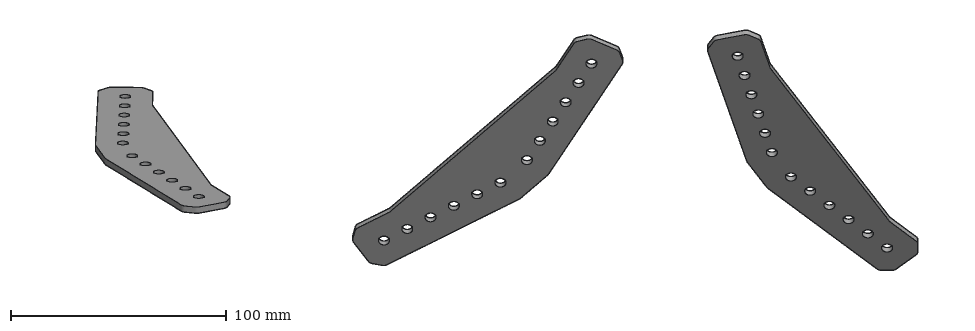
import cadquery as cq
import math

LENGTH = 163.2
THICKNESS = 3.1

ARM_HALF_WIDTH = 12.7
END_DISTANCE = 12.5
END_CHAMFER = 5.0
EDGE_RADIUS = 3.0
HOLE_DIAMETER = 5.0
HOLE_PITCH = 12.7
HOLES_PER_ARM = 6

BEND_ANGLE = 30.0
UPPER_BEND_OFFSET = 52.5
LOWER_BEND_OFFSET = -2.8

bend = math.radians(BEND_ANGLE)
half_bend = bend / 2
arm_end = (HOLES_PER_ARM - 1) * HOLE_PITCH + END_DISTANCE
chamfer_start = arm_end - END_CHAMFER
end_half_width = ARM_HALF_WIDTH - END_CHAMFER

rounding_along = arm_end - EDGE_RADIUS
rounding_across = end_half_width - EDGE_RADIUS * math.tan(math.pi / 8)
left_reach = rounding_along * math.cos(bend) + rounding_across * math.sin(bend) + EDGE_RADIUS
inner_hole_gap = (LENGTH - arm_end - left_reach) / math.cos(half_bend)


def arm_point(along, across, side):
    """Locate a point on an arm, measured from its innermost hole.

    The bisector is the local Y axis; side is 1 for the right arm, -1 for the left.
    """
    x = inner_hole_gap / 2 + along * math.cos(half_bend) - across * math.sin(half_bend)
    y = along * math.sin(half_bend) + across * math.cos(half_bend)
    return (side * x, y)


def arm_outline(side):
    """List the corners of one arm, from its lower bend to its upper bend."""
    corners = [
        (LOWER_BEND_OFFSET, -ARM_HALF_WIDTH),
        (chamfer_start, -ARM_HALF_WIDTH),
        (arm_end, -end_half_width),
        (arm_end, end_half_width),
        (chamfer_start, ARM_HALF_WIDTH),
        (UPPER_BEND_OFFSET, ARM_HALF_WIDTH),
    ]
    return [arm_point(along, across, side) for along, across in corners]


outline = arm_outline(1) + arm_outline(-1)[::-1]
plate = cq.Workplane("XY").polyline(outline).close().extrude(THICKNESS)
plate = plate.edges("|Z").fillet(EDGE_RADIUS)

hole_centres = [
    arm_point(index * HOLE_PITCH, 0, side) for side in (-1, 1) for index in range(HOLES_PER_ARM)
]
holes = cq.Workplane("XY").pushPoints(hole_centres).circle(HOLE_DIAMETER / 2).extrude(THICKNESS)
plate = plate.cut(holes)

result = plate.rotate((0, 0, 0), (0, 0, 1), -BEND_ANGLE / 2)